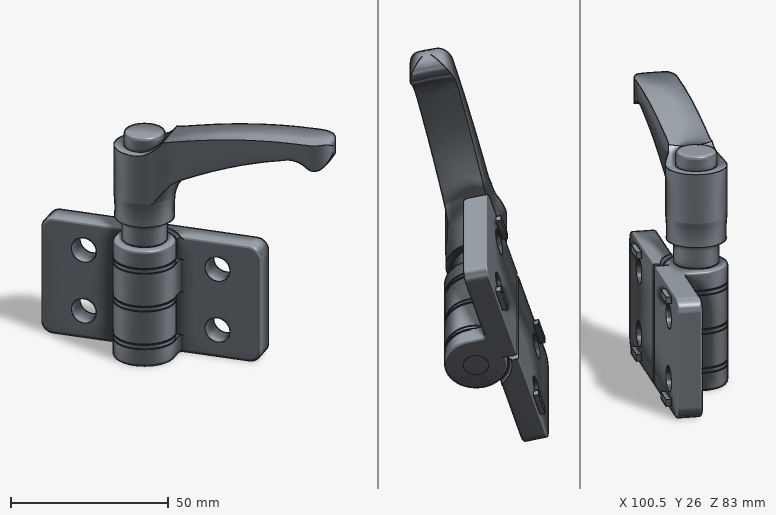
import cadquery as cq
import math


leaf_height = 40.0
leaf_reach = 37.0
leaf_back = 13.8
leaf_thickness = 8.0
leaf_front = leaf_back - leaf_thickness
leaf_gap = 1.8
leaf_corner_radius = 4.0
inner_corner_radius = 1.0
front_edge_radius = 0.95
back_edge_radius = 0.5
barrel_diameter = 20.0
barrel_radius = barrel_diameter / 2
hinge_turn = -1.0

relief_radius = 10.5

hole_diameter = 8.3
hole_offset = 22.5
hole_spacing = 21.0
bar_length = 8.0
bar_height = 2.2
bar_depth = 1.7
bar_spacing = 34.4

end_knuckle_height = 6.0
washer_count = 3
washer_thickness = 1.8
washer_edge = 0.3
inner_knuckle_space = leaf_height - 2 * end_knuckle_height - washer_count * washer_thickness
inner_knuckle_height = inner_knuckle_space / (washer_count - 1)
knuckle_pitch = inner_knuckle_height + washer_thickness
washer_bottoms = [end_knuckle_height + i * knuckle_pitch for i in range(washer_count)]

pin_diameter = 8.0
collar_radius = 7.2
collar_chamfer = 0.4
sleeve_bottom = 48.1
sleeve_radius = 9.5
sleeve_waist_radius = 9.4
band_bottom = 53.9
hub_radius = 9.7
hub_bottom = 56.1
hub_top = 72.7
step_radius = 9.8
step_sweep = 60.0
button_radius = 6.5
button_top = 77.6
button_edge_radius = 1.2
arm_half_width = 6.8
arm_blend_radius = 12.3
arm_reach = 63.6
arm_top = 83.0
arm_top_radius = 176.9
arm_top_start = 4.0
arm_top_end = 55.8

arm_root_middle = (11.3, 60.5)
arm_root_end = (15.0, 64.5)
underside_middle = (31.0, 71.6)
underside_end = (50.3, 77.0)
tip_notch_middle = (53.6, 76.9)
tip_notch_end = (56.9, 75.2)
tip_neck_middle = (58.0, 74.5)
tip_low = (59.2, 74.2)
tip_flank = (62.2, 76.0)
tip_side = (arm_reach, 80.9)
tip_top_radius = arm_top - tip_side[1]


def pin_bore():
    """Space for the pin through the whole barrel."""
    return cq.Workplane("XY").circle(pin_diameter / 2).extrude(leaf_height)


def leaf_section():
    """Plan outline of a leaf with its barrel, hinge axis at the origin."""
    gap_x = -leaf_gap / 2
    barrel_back = math.sqrt(barrel_radius**2 - gap_x**2)
    return (
        cq.Workplane("XY")
        .moveTo(gap_x, leaf_back)
        .lineTo(-leaf_reach, leaf_back)
        .lineTo(-leaf_reach, leaf_front)
        .lineTo(-barrel_radius - inner_corner_radius, leaf_front)
        .radiusArc((-barrel_radius, leaf_front - inner_corner_radius), inner_corner_radius)
        .lineTo(-barrel_radius, 0)
        .threePointArc((barrel_radius, 0), (gap_x, barrel_back))
        .close()
    )


def relief(bottom, top):
    """Space cleared around the barrel between two heights."""
    height = top - bottom
    round_space = cq.Workplane("XY", origin=(0, 0, bottom)).circle(relief_radius).extrude(height)
    front_space = (
        cq.Workplane("XY", origin=(0, 0, bottom))
        .rect(2 * (barrel_radius + inner_corner_radius), 2 * leaf_front)
        .extrude(height)
    )
    return round_space.union(front_space)


def relief_end_flare():
    """Rounding of the relief's edge at the bottom end of the leaf."""
    radius = front_edge_radius
    return (
        cq.Workplane("XZ")
        .lineTo(relief_radius + radius, 0)
        .radiusArc((relief_radius, radius), -radius)
        .lineTo(0, radius)
        .close()
        .revolve(360, (0, 0), (0, 1))
    )


def left_leaf():
    """Leaf that carries the top knuckle and the lower inner knuckle."""
    leaf = leaf_section().extrude(leaf_height)
    leaf = leaf.edges("|Y and <X").fillet(leaf_corner_radius)
    leaf = leaf.faces("<X").edges(">Y").fillet(back_edge_radius)
    leaf = leaf.faces("<X").edges("<Y").fillet(front_edge_radius)

    lower_relief = relief(0, washer_bottoms[0] + washer_thickness)
    upper_relief = relief(washer_bottoms[1], washer_bottoms[2] + washer_thickness)
    leaf = leaf.cut(lower_relief).cut(upper_relief)
    leaf = leaf.cut(relief_end_flare())

    holes = (
        cq.Workplane("XZ", origin=(-hole_offset, 0, leaf_height / 2))
        .rarray(1, hole_spacing, 1, 2)
        .circle(hole_diameter / 2)
        .extrude(-leaf_back)
    )
    bars = (
        cq.Workplane("XZ", origin=(-hole_offset, leaf_back, leaf_height / 2))
        .rarray(1, bar_spacing, 1, 2)
        .rect(bar_length, bar_height)
        .extrude(-bar_depth)
    )
    return leaf.cut(holes).union(bars).cut(pin_bore())


def right_leaf():
    """The left leaf turned over, so its knuckles fill the spaces of the other leaf."""
    middle = leaf_height / 2
    return left_leaf().rotate((0, 0, middle), (0, 1, middle), 180)


def washer(bottom):
    """Flat ring between two knuckles."""
    return (
        cq.Workplane("XY", origin=(0, 0, bottom))
        .circle(barrel_radius)
        .extrude(washer_thickness)
        .edges()
        .chamfer(washer_edge)
        .cut(pin_bore())
    )


def lever_spindle():
    """Turned lower part of the lever: pin, collar, waisted sleeve and tapered band."""
    pin_radius = pin_diameter / 2
    return (
        cq.Workplane("XZ")
        .lineTo(pin_radius, 0)
        .lineTo(pin_radius, leaf_height)
        .lineTo(collar_radius - collar_chamfer, leaf_height)
        .lineTo(collar_radius, leaf_height + collar_chamfer)
        .lineTo(collar_radius, sleeve_bottom)
        .lineTo(sleeve_radius, sleeve_bottom)
        .threePointArc(
            (sleeve_waist_radius, (sleeve_bottom + band_bottom) / 2),
            (sleeve_radius, band_bottom),
        )
        .lineTo(hub_radius, hub_bottom)
        .lineTo(0, hub_bottom)
        .close()
        .revolve(360, (0, 0), (0, 1))
    )


def lever_plan():
    """Plan of hub and arm: round hub, hollow blends, straight sides and a round tip."""
    blend_distance = hub_radius + arm_blend_radius
    blend_y = arm_half_width + arm_blend_radius
    blend_x = math.sqrt(blend_distance**2 - blend_y**2)
    hub_x = blend_x * hub_radius / blend_distance
    hub_y = blend_y * hub_radius / blend_distance
    tip_center = arm_reach - arm_half_width
    return (
        cq.Workplane("XY", origin=(0, 0, hub_bottom))
        .moveTo(hub_x, -hub_y)
        .radiusArc((blend_x, -arm_half_width), arm_blend_radius)
        .lineTo(tip_center, -arm_half_width)
        .threePointArc((arm_reach, 0), (tip_center, arm_half_width))
        .lineTo(blend_x, arm_half_width)
        .radiusArc((hub_x, hub_y), arm_blend_radius)
        .threePointArc((-hub_radius, 0), (hub_x, -hub_y))
        .close()
    )


def arm_profile():
    """Half section, turned about the hinge axis, that bounds the hub and arm above and below."""
    drop_angle = math.asin((arm_top_end - arm_top_start) / arm_top_radius)
    top_start = (arm_top_start, arm_top - arm_top_radius * (1 - math.cos(drop_angle)))
    top_middle = (
        arm_top_end - arm_top_radius * math.sin(drop_angle / 2),
        arm_top - arm_top_radius * (1 - math.cos(drop_angle / 2)),
    )
    return (
        cq.Workplane("XZ")
        .moveTo(0, hub_bottom)
        .lineTo(hub_radius, hub_bottom)
        .threePointArc(arm_root_middle, arm_root_end)
        .threePointArc(underside_middle, underside_end)
        .threePointArc(tip_notch_middle, tip_notch_end)
        .threePointArc(tip_neck_middle, tip_low)
        .spline([tip_flank, tip_side], tangents=[(1, 0), (0, 1)], includeCurrent=True)
        .radiusArc((arm_reach - tip_top_radius, arm_top), -tip_top_radius)
        .lineTo(arm_top_end, arm_top)
        .threePointArc(top_middle, top_start)
        .lineTo(0, top_start[1])
        .close()
    )


def hub_step():
    """Space above the hub top, rising along a hollow towards the arm."""
    clear = 2 * hub_radius
    end_x = step_radius * math.sin(math.radians(step_sweep))
    end_z = hub_top + step_radius * (1 - math.cos(math.radians(step_sweep)))
    return (
        cq.Workplane("XZ")
        .moveTo(-clear, hub_top)
        .lineTo(0, hub_top)
        .radiusArc((end_x, end_z), -step_radius)
        .lineTo(end_x, arm_top)
        .lineTo(-clear, arm_top)
        .close()
        .extrude(clear, both=True)
    )


def clamping_lever():
    """One-piece lever with its pin and push button."""
    arm = lever_plan().extrude(arm_top - hub_bottom)
    arm = arm.intersect(arm_profile().revolve(360, (0, 0), (0, 1)))
    arm = arm.cut(hub_step())
    button = (
        cq.Workplane("XY", origin=(0, 0, hub_bottom))
        .circle(button_radius)
        .extrude(button_top - hub_bottom)
        .faces(">Z")
        .edges()
        .fillet(button_edge_radius)
    )
    return lever_spindle().union(arm).union(button)


def turned(body):
    """Body turned to the resting angle of the hinge."""
    return body.rotate((0, 0, 0), (0, 0, 1), hinge_turn)


washers = [turned(washer(bottom)) for bottom in washer_bottoms]

result = cq.Compound.makeCompound([
    turned(left_leaf()).val(),
    turned(right_leaf()).val(),
    *[ring.val() for ring in washers],
    clamping_lever().val(),
])